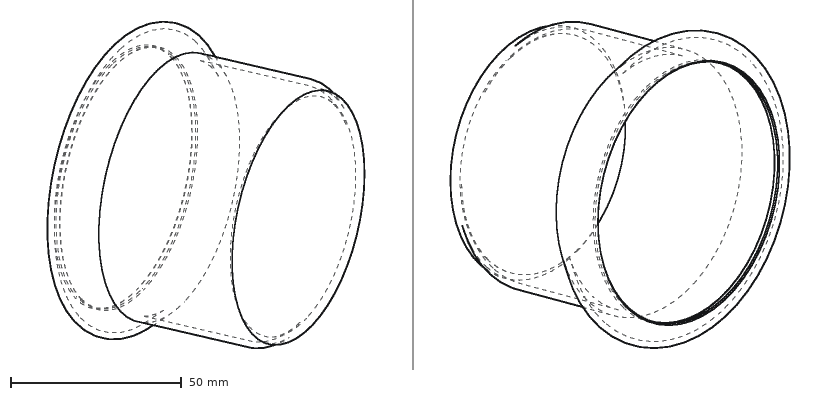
import cadquery as cq
import math

total_length = 59.72
wall = 2.0
body_outer_radius = 80.7 / 2
end_outer_radius = 76.1 / 2
mouth_radius = 78.2 / 2
overall_radius = 94.7 / 2
bead_outer_radius = 5.5
cone_angle = math.radians(40.3)
lip_chamfer = 0.4
throat_fillet = 2.0
shoulder_start = 53.0
shoulder_end = 57.8
convex_radius = 4.75

bore_radius = body_outer_radius - wall
bead_inner_radius = bead_outer_radius - wall
bead_x = bead_outer_radius
bead_r = overall_radius - bead_outer_radius


def point_on_arc(center_x, center_r, radius, angle):
    """Point at an angle measured from the outward radial direction toward +X."""
    return (center_x + radius * math.sin(angle), center_r + radius * math.cos(angle))


def cone_reach(section_radius, cylinder_radius):
    """X where the cone tangent to a bead section meets a cylinder."""
    start_x, start_r = point_on_arc(bead_x, bead_r, section_radius, cone_angle)
    return start_x + (start_r - cylinder_radius) / math.tan(cone_angle)


shoulder_length = shoulder_end - shoulder_start
shoulder_drop = body_outer_radius - end_outer_radius
shoulder_angle = 2 * math.atan2(shoulder_drop, shoulder_length)
concave_radius = shoulder_length / math.sin(shoulder_angle) - convex_radius


def shoulder_points(start_radius):
    """Convex middle, junction, concave middle and foot of a shoulder starting at the given radius."""
    convex_center_r = start_radius - convex_radius
    concave_center_r = start_radius - shoulder_drop + concave_radius
    middle = shoulder_angle / 2
    return (
        point_on_arc(shoulder_start, convex_center_r, convex_radius, middle),
        point_on_arc(shoulder_start, convex_center_r, convex_radius, shoulder_angle),
        point_on_arc(shoulder_end, concave_center_r, concave_radius, math.pi + middle),
        point_on_arc(shoulder_end, concave_center_r, concave_radius, math.pi),
    )


def outer_solid():
    """Solid cap with the rolled bead, cone, body, smooth shoulder and end boss."""
    convex_mid, junction, concave_mid, shoulder_foot = shoulder_points(body_outer_radius)
    profile = (
        cq.Workplane("XY")
        .moveTo(0, 0)
        .lineTo(0, bead_r)
        .threePointArc(
            point_on_arc(bead_x, bead_r, bead_outer_radius, 0),
            point_on_arc(bead_x, bead_r, bead_outer_radius, cone_angle),
        )
        .lineTo(cone_reach(bead_outer_radius, body_outer_radius), body_outer_radius)
        .lineTo(shoulder_start, body_outer_radius)
        .spline(
            [convex_mid, junction, concave_mid, shoulder_foot],
            tangents=[(1, 0), (1, 0)],
            includeCurrent=True,
        )
        .lineTo(total_length, end_outer_radius)
        .lineTo(total_length, 0)
        .close()
    )
    return profile.revolve(360, (0, 0, 0), (1, 0, 0))


def inner_cavity():
    """Space inside the cap: mouth, bead groove, cone, bore and flat floor."""
    convex_mid, junction, concave_mid, shoulder_foot = shoulder_points(bore_radius)
    tangent_length = throat_fillet * math.tan(cone_angle / 2)
    throat_x = cone_reach(bead_inner_radius, bore_radius) + tangent_length
    throat_center_r = bore_radius + throat_fillet
    throat_start = point_on_arc(throat_x, throat_center_r, throat_fillet, math.pi + cone_angle)
    throat_mid = point_on_arc(throat_x, throat_center_r, throat_fillet, math.pi + cone_angle / 2)
    profile = (
        cq.Workplane("XY")
        .moveTo(0, 0)
        .lineTo(0, mouth_radius + lip_chamfer)
        .lineTo(lip_chamfer, mouth_radius)
        .lineTo(wall - lip_chamfer, mouth_radius)
        .lineTo(wall, mouth_radius + lip_chamfer)
        .lineTo(wall, bead_r)
        .threePointArc(
            point_on_arc(bead_x, bead_r, bead_inner_radius, 0),
            point_on_arc(bead_x, bead_r, bead_inner_radius, cone_angle),
        )
        .lineTo(*throat_start)
        .threePointArc(throat_mid, (throat_x, bore_radius))
        .lineTo(shoulder_start, bore_radius)
        .threePointArc(convex_mid, junction)
        .threePointArc(concave_mid, shoulder_foot)
        .lineTo(shoulder_end, 0)
        .close()
    )
    return profile.revolve(360, (0, 0, 0), (1, 0, 0))


result = outer_solid().cut(inner_cavity())